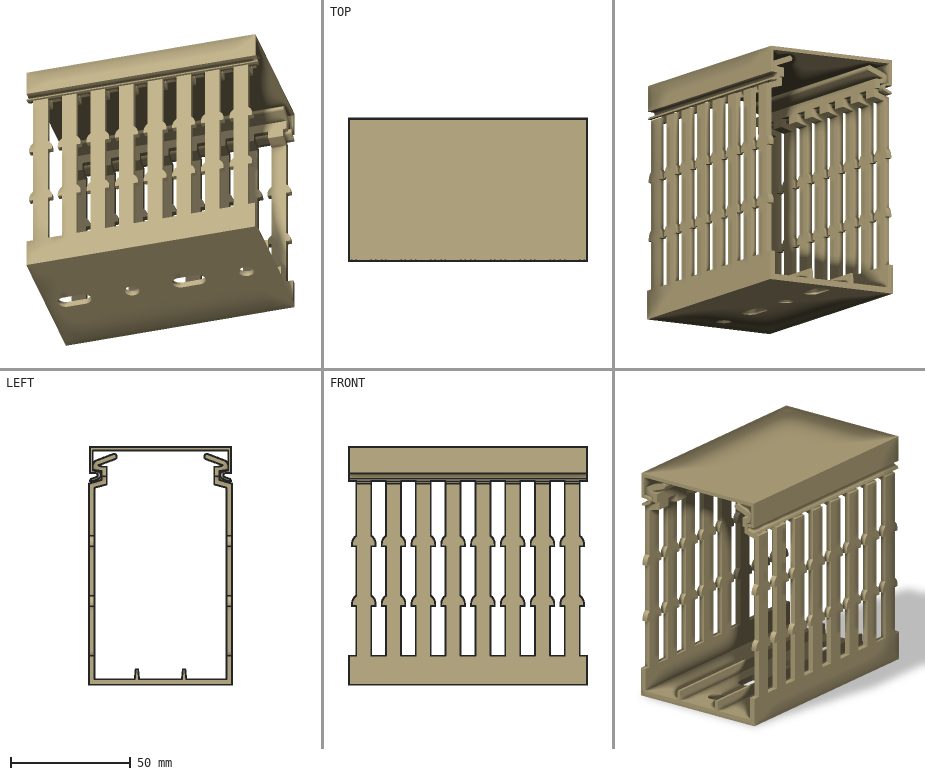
import cadquery as cq
import math

length = 100.0
height = 100.0

lid_half_width = 29.7
lid_thickness = 1.6
lid_wall = 1.3
lid_inner = lid_half_width - lid_wall
lid_wall_bottom = 89.0
lip_root_top = 90.2
lip_bottom = 85.6
lip_tip_top = 86.5
lip_tip_bevel = 0.4
lip_tip_depth = 1.5
inner_fold_center = (lid_half_width - 2.5, 88.1)
inner_fold_radius = 0.8
inner_fold_angles = (95, 251)
outer_fold_center = (lid_half_width - 3.2, 88.1)
outer_fold_radius = 1.6
outer_fold_angles = (104, 245)

base_width = 60.1
half_width = base_width / 2
floor_thickness = 2.5
wall_thickness = 2.4
inner_wall = half_width - wall_thickness
wall_top = 84.6
inner_wall_top = 82.8

neck_outer = half_width - 5.3
neck_inner = half_width - 7.5
neck_outer_bottom = 86.2
neck_inner_bottom = 84.2
neck_outer_top = 89.8
neck_inner_top = 91.7

hook_outer = lid_inner
hook_bottom = 90.3
hook_top = 92.4
hook_round_middle = (half_width - 2.3, 93.7)
arm_outer_start = (half_width - 3.6, 94.5)
arm_outer_end = (half_width - 9.9, 96.9)
arm_tip = (half_width - 11.6, 96.3)
arm_inner_end = (half_width - 10.7, 94.7)
arm_inner_start = (half_width - 3.9, 92.2)
crotch_end = half_width - 5.5
rim_length = 97.0

post_count = 8
post_pitch = length / post_count
post_width = 6.4
slot_bottom = 12.3
slot_top = 87.7

catch_tops = (37.5, 62.6)
catch_reach = 1.8
catch_curve_height = 3.4
catch_height = 4.4

rib_offset = 9.9
rib_top = 6.7
rib_tip_width = 1.1
rib_root_width = 1.9
opening_width = 6.8
opening_length = 14.4
hole_diameter = 6.4
opening_pitch = length / 4
long_opening_places = (0.5 * opening_pitch, 2.5 * opening_pitch)
hole_places = (1.5 * opening_pitch, 3.5 * opening_pitch)


def block(x_start, x_size, z_start, z_size):
    """A block spanning the full base width, placed by its lowest X and Z."""
    corner_block = cq.Workplane("XY").box(x_size, base_width, z_size, centered=(False, True, False))
    return corner_block.translate((x_start, 0, z_start))


def both_sides(body):
    """Join a +Y side shape with its mirror image on the -Y side."""
    return body.union(body.mirror("XZ"))


def arc_point(center, radius, degrees):
    """Point of an arc in Y and Z, at an angle measured up from +Y."""
    turn = math.radians(degrees)
    return (center[0] + radius * math.cos(turn), center[1] + radius * math.sin(turn))


def inner_fold(degrees):
    return arc_point(inner_fold_center, inner_fold_radius, degrees)


def outer_fold(degrees):
    return arc_point(outer_fold_center, outer_fold_radius, degrees)


def lid_side():
    """The +Y half of the lid: half the cover, the side wall and the folded lip."""
    inner_upper, inner_lower = inner_fold_angles
    outer_upper, outer_lower = outer_fold_angles
    return (
        cq.Workplane("YZ")
        .moveTo(0, height)
        .lineTo(lid_half_width, height)
        .lineTo(lid_half_width, lid_wall_bottom)
        .lineTo(lid_inner, lid_wall_bottom)
        .lineTo(*inner_fold(inner_upper))
        .threePointArc(inner_fold(180), inner_fold(inner_lower))
        .lineTo(lid_half_width - lip_tip_bevel, lip_tip_top)
        .lineTo(lid_half_width, lip_bottom)
        .lineTo(lid_half_width - lip_tip_depth, lip_bottom)
        .lineTo(*outer_fold(outer_lower))
        .threePointArc(outer_fold(180), outer_fold(outer_upper))
        .lineTo(lid_inner, lip_root_top)
        .lineTo(lid_inner, height - lid_thickness)
        .lineTo(0, height - lid_thickness)
        .close()
        .extrude(length)
    )


def side_wall():
    """Unslotted wall of the +Y side with its neck and locking rim."""
    return (
        cq.Workplane("YZ")
        .moveTo(inner_wall, 0)
        .lineTo(half_width, 0)
        .lineTo(half_width, wall_top)
        .lineTo(neck_outer, neck_outer_bottom)
        .lineTo(neck_outer, neck_outer_top)
        .lineTo(hook_outer, hook_bottom)
        .lineTo(hook_outer, hook_top)
        .threePointArc(hook_round_middle, arm_outer_start)
        .lineTo(*arm_outer_end)
        .threePointArc(arm_tip, arm_inner_end)
        .lineTo(*arm_inner_start)
        .lineTo(crotch_end, neck_inner_top)
        .lineTo(neck_inner, neck_inner_top)
        .lineTo(neck_inner, neck_inner_bottom)
        .lineTo(inner_wall, inner_wall_top)
        .close()
        .extrude(length)
    )


def cut_slots(walls):
    """Cut a slot on each side of every post; the end slots run out past the ends."""
    gap = post_pitch - post_width
    for i in range(post_count + 1):
        walls = walls.cut(block(i * post_pitch - gap / 2, gap, slot_bottom, slot_top - slot_bottom))
    return walls


def trim_rims(walls):
    """Set the ends of the locking rims back from the ends of the duct."""
    setback = (length - rim_length) / 2
    for x_start in (0, length - setback):
        walls = walls.cut(block(x_start, setback, slot_top, height - slot_top))
    return walls


def catch_pair(x_center, top):
    """A +Y side catch across one post, curving outward to a flat underside."""
    half_post = post_width / 2
    half_catch = half_post + catch_reach
    curve_radius = (catch_reach**2 + catch_curve_height**2) / (2 * catch_reach)
    half_turn = math.asin(catch_curve_height / curve_radius) / 2
    middle_x = half_catch - curve_radius * (1 - math.cos(half_turn))
    middle_z = curve_radius * math.sin(half_turn) - catch_curve_height
    return (
        cq.Workplane("XZ", origin=(x_center, half_width, top))
        .moveTo(-half_post, 0)
        .lineTo(half_post, 0)
        .threePointArc((middle_x, middle_z), (half_catch, -catch_curve_height))
        .lineTo(half_catch, -catch_height)
        .lineTo(-half_catch, -catch_height)
        .lineTo(-half_catch, -catch_curve_height)
        .threePointArc((-middle_x, middle_z), (-half_post, 0))
        .close()
        .extrude(wall_thickness)
    )


def add_catches(walls):
    for top in catch_tops:
        for i in range(post_count):
            walls = walls.union(both_sides(catch_pair((i + 0.5) * post_pitch, top)))
    return walls


def floor_rib():
    """Tapered rib along the floor on the +Y side."""
    return (
        cq.Workplane("YZ")
        .moveTo(rib_offset - rib_root_width / 2, floor_thickness)
        .lineTo(rib_offset + rib_root_width / 2, floor_thickness)
        .lineTo(rib_offset + rib_tip_width / 2, rib_top)
        .lineTo(rib_offset - rib_tip_width / 2, rib_top)
        .close()
        .extrude(length)
    )


def mounting_openings():
    """Lengthwise slots and round holes that alternate along the floor."""
    long_openings = (
        cq.Workplane("XY")
        .pushPoints([(x, 0) for x in long_opening_places])
        .slot2D(opening_length, opening_width)
        .extrude(floor_thickness)
    )
    holes = (
        cq.Workplane("XY")
        .pushPoints([(x, 0) for x in hole_places])
        .circle(hole_diameter / 2)
        .extrude(floor_thickness)
    )
    return long_openings.union(holes)


def make_base():
    walls = add_catches(trim_rims(cut_slots(both_sides(side_wall()))))
    floor = block(0, length, 0, floor_thickness).union(both_sides(floor_rib()))
    return floor.union(walls).cut(mounting_openings())


def make_lid():
    return both_sides(lid_side())


base = make_base()
lid = make_lid()

result = cq.Compound.makeCompound([base.val(), lid.val()])